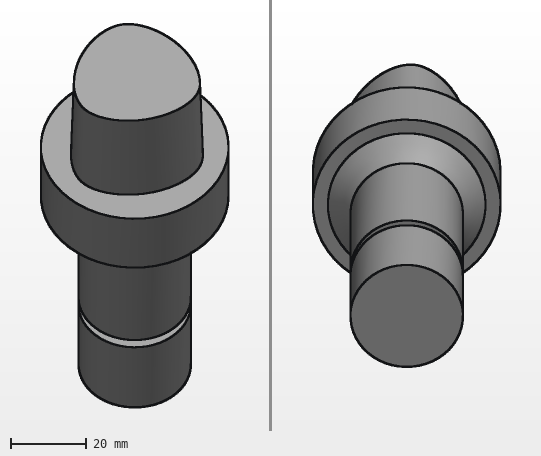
import cadquery as cq
import math

FLANGE_DIAMETER = 50.0
FLANGE_HEIGHT = 20.3
CONE_TOP_DIAMETER = 42.0
CONE_HEIGHT = 6.0
CONE_CURVE_RADIUS = 42.0
SHAFT_DIAMETER = 30.0
SHAFT_LENGTH = 36.0
NECK_DIAMETER = 23.0
NECK_LENGTH = 3.0
TIP_LENGTH = 25.0

SHANK_HEIGHT = 29.8
SHANK_BASE_DIAMETER = 35.2
SHANK_TOP_DIAMETER = 33.6
LOBE_ECCENTRICITY = 1.1
PROFILE_POINTS = 48

flange_bottom = -FLANGE_HEIGHT
cone_bottom = flange_bottom - CONE_HEIGHT
shaft_bottom = cone_bottom - SHAFT_LENGTH
neck_bottom = shaft_bottom - NECK_LENGTH
tip_bottom = neck_bottom - TIP_LENGTH


def lobed_point(mean_diameter, angle):
    """Point on the constant-width, three-lobed outline with one lobe toward -Y."""
    radius = mean_diameter / 2
    across = radius * math.cos(angle) - 2 * LOBE_ECCENTRICITY * math.cos(2 * angle)
    across += LOBE_ECCENTRICITY * math.cos(4 * angle)
    along = radius * math.sin(angle) + 2 * LOBE_ECCENTRICITY * math.sin(2 * angle)
    along += LOBE_ECCENTRICITY * math.sin(4 * angle)
    return along, across


def lobed_outline(mean_diameter):
    """Closed smooth curve through evenly spaced points of the lobed outline."""
    step = 2 * math.pi / PROFILE_POINTS
    return [lobed_point(mean_diameter, i * step) for i in range(PROFILE_POINTS)]


def make_shank():
    """Solid tapering upwards from the flange top face."""
    return (
        cq.Workplane("XY")
        .spline(lobed_outline(SHANK_BASE_DIAMETER), periodic=True)
        .close()
        .workplane(offset=SHANK_HEIGHT)
        .spline(lobed_outline(SHANK_TOP_DIAMETER), periodic=True)
        .close()
        .loft(ruled=True, combine=True)
    )


def make_holder():
    """Lobed shank, flange, hollow-flanked cone and shaft in one piece."""
    turned = (
        cq.Workplane("XZ")
        .moveTo(0, 0)
        .lineTo(FLANGE_DIAMETER / 2, 0)
        .lineTo(FLANGE_DIAMETER / 2, flange_bottom)
        .lineTo(CONE_TOP_DIAMETER / 2, flange_bottom)
        .radiusArc((SHAFT_DIAMETER / 2, cone_bottom), -CONE_CURVE_RADIUS)
        .lineTo(SHAFT_DIAMETER / 2, shaft_bottom)
        .lineTo(0, shaft_bottom)
        .close()
        .revolve(360, (0, 0, 0), (0, 1, 0))
    )
    return turned.union(make_shank())


def make_tip():
    """Plain cylindrical tip with the narrower neck that meets the shaft end."""
    tip = cq.Workplane("XY").workplane(offset=tip_bottom).circle(SHAFT_DIAMETER / 2).extrude(TIP_LENGTH)
    neck = cq.Workplane("XY").workplane(offset=neck_bottom).circle(NECK_DIAMETER / 2).extrude(NECK_LENGTH)
    return tip.union(neck)


holder = make_holder()
tip = make_tip()

result = cq.Compound.makeCompound([holder.val(), tip.val()])